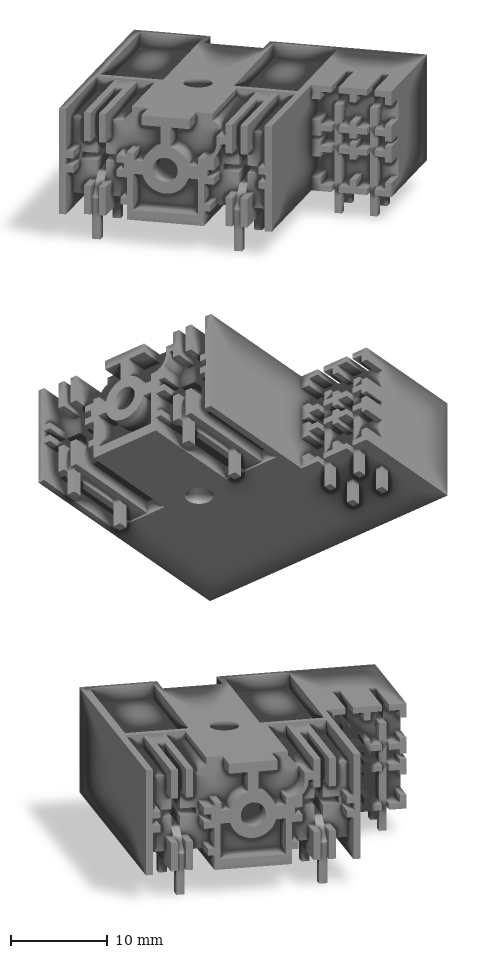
import cadquery as cq
import math

BODY_WIDTH = 22.83
TOTAL_WIDTH = 31.45
DEPTH = 28.3
HEIGHT = 11.42
PIN_LENGTH = 2.58
WALL = 0.75
MID_X = BODY_WIDTH / 2
MID_Z = HEIGHT / 2

FRONT_DEPTH = 2.6
RECESS_DEPTH = 11.7
SHELF = 1.6
BAY_RIGHT = BODY_WIDTH - WALL

BORE_RADIUS = 1.32
RING_RADIUS = 2.55
BOX_HALF_WIDTH = 4.12
BOX_WALL = 0.63
BOX_FLOOR = 1.1
ARM_HEIGHT = 1.4
TAB_HALF_WIDTH = 2.58
TAB_HEIGHT = 1.07
WEB_HALF_WIDTH = 0.55

SHOULDER_OFFSET = 3.75
SHOULDER_Z = 9.0
SHOULDER_RADIUS = 1.73
SHELL_RADIUS = 2.15
SHOULDER_HALF_GAP = 4.35
BRACKET_TOP = SHOULDER_Z - SHOULDER_RADIUS
BRACKET_WIDTH = 0.75
LIP_HEIGHT = 0.1

RIB_HEIGHT = 2.3
LEFT_RIB_WIDTH = 0.8
RIGHT_RIB_WIDTH = 0.65
COLUMN_RIB_WIDTH = 1.1
BLADE_THICKNESS = 0.8
GROOVE_HALF_SPAN = 3.15
FOOT_WIDTH = 0.7
FOOT_HEIGHT = 0.75

FORK_CENTERS = (3.85, 19.03)
FORK_WIDTH = 2.35
FORK_HEIGHT = 3.08
FORK_INSET = 0.22
FORK_SLOT_WIDTH = 0.88
FORK_SLOT_DEPTH = 9.18
BLADE_HALF_WIDTH = 2.17

PIN_THICKNESS = 1.0
PIN_FRONT = 0.6
STRIP_TOP = 4.12
BLADE_FRONT = 6.7
BEND_RUN = 2.23
BEND_ANGLE = 45.0

SIDE_FRONT = 14.95
SIDE_POCKET_DEPTH = 2.6
SLAB = 0.65
MID_SLAB_Z = 6.5
OUTER_TOOTH = 0.85
INNER_TOOTH = 0.55
TEETH = ((BODY_WIDTH, 0.97), (26.95, 0.65), (30.75, 0.7))
SIDE_SLOTS = (25.38, 29.22)
SIDE_SLOT_WIDTH = 0.8
SIDE_SLOT_END = 20.73
SIDE_TERMINAL_FRONT = 16.05
SIDE_TERMINAL_TOP = 9.12
SIDE_PIN_WIDTH = 0.95

POCKET_FRONT = 12.45
POCKET_BACK = 27.45
POCKET_SPANS = ((0.88, 7.65), (15.22, 22.08))
SCREW_HOLE_Y = 12.3
SCREW_HOLE_RADIUS = 1.5
NOTCH_HALF_WIDTH = 3.18
NOTCH_DEPTH = 2.45
REAR_BOSS_RADIUS = 2.3


def block(x0, x1, y0, y1, z0, z1):
    """Box between two opposite corners."""
    return cq.Workplane("XY").box(x1 - x0, y1 - y0, z1 - z0, centered=False).translate((x0, y0, z0))


def rod(x, z, radius, y0, y1):
    """Cylinder along Y."""
    return cq.Workplane("XZ", origin=(x, y0, z)).circle(radius).extrude(y0 - y1)


def front_block(x0, x1, z0, z1):
    """Box that fills the depth of the front bay."""
    return block(x0, x1, 0, FRONT_DEPTH, z0, z1)


def housing():
    main = block(0, BODY_WIDTH, 0, DEPTH, 0, HEIGHT)
    return main.union(block(BODY_WIDTH, TOTAL_WIDTH, SIDE_FRONT, DEPTH, 0, HEIGHT))


def front_openings():
    """Front bay and the recesses above and below the contact blocks."""
    cut = front_block(WALL, BAY_RIGHT, 0, HEIGHT)
    top = block(WALL, BAY_RIGHT, 0, RECESS_DEPTH, HEIGHT - SHELF, HEIGHT)
    top = top.cut(block(MID_X - SHOULDER_HALF_GAP, MID_X + SHOULDER_HALF_GAP,
                        0, RECESS_DEPTH, 0, HEIGHT))
    for x in (MID_X - SHOULDER_OFFSET, MID_X + SHOULDER_OFFSET):
        top = top.cut(rod(x, SHOULDER_Z, SHOULDER_RADIUS, 0, RECESS_DEPTH))
    bottom = block(WALL, BAY_RIGHT, 0, RECESS_DEPTH, 0, SHELF)
    bottom = bottom.cut(block(MID_X - BOX_HALF_WIDTH, MID_X + BOX_HALF_WIDTH,
                              0, RECESS_DEPTH, 0, SHELF))
    return cut.union(top).union(bottom)


def center_column():
    """Box, ring, web and tab standing in the front bay."""
    left = MID_X - BOX_HALF_WIDTH
    right = MID_X + BOX_HALF_WIDTH
    arm_top = MID_Z + ARM_HEIGHT / 2
    arm_bottom = MID_Z - ARM_HEIGHT / 2
    column = front_block(left, right, 0, arm_top)
    column = column.cut(front_block(left + BOX_WALL, right - BOX_WALL, BOX_FLOOR, arm_bottom))
    column = column.union(front_block(MID_X - WEB_HALF_WIDTH, MID_X + WEB_HALF_WIDTH, MID_Z, HEIGHT))
    column = column.union(front_block(MID_X - TAB_HALF_WIDTH, MID_X + TAB_HALF_WIDTH,
                                      HEIGHT - TAB_HEIGHT, HEIGHT))
    column = column.union(rod(MID_X, MID_Z, RING_RADIUS, 0, FRONT_DEPTH))
    column = column.union(front_block(left, left + BRACKET_WIDTH, arm_top, BRACKET_TOP))
    return column.union(bracket_lip()).union(shoulder_shell())


def bracket_lip():
    """Low outer lip of the left bracket, following the left shoulder circle."""
    x = MID_X - SHOULDER_OFFSET
    lip = front_block(MID_X - BOX_HALF_WIDTH, x, MID_Z, BRACKET_TOP + LIP_HEIGHT)
    return lip.cut(rod(x, SHOULDER_Z, SHOULDER_RADIUS, 0, FRONT_DEPTH))


def shoulder_shell():
    """Thin curved wall from the column up to the right fork."""
    x = MID_X + SHOULDER_OFFSET
    left = MID_X + BOX_HALF_WIDTH - BOX_WALL
    rib_side = MID_X + BOX_HALF_WIDTH + COLUMN_RIB_WIDTH
    fork_side = FORK_CENTERS[1] - FORK_WIDTH / 2
    shelf_z = HEIGHT - SHELF
    shell = front_block(left, rib_side, MID_Z, BRACKET_TOP)
    shell = shell.union(front_block(x, rib_side, MID_Z, SHOULDER_Z))
    shell = shell.union(rod(x, SHOULDER_Z, SHELL_RADIUS, 0, FRONT_DEPTH).intersect(
        front_block(x, fork_side, MID_Z, shelf_z)))
    shell = shell.union(front_block(x, fork_side, SHOULDER_Z, shelf_z))
    shell = shell.cut(rod(x, SHOULDER_Z, SHOULDER_RADIUS, 0, FRONT_DEPTH))
    return shell.cut(front_block(x, x + SHOULDER_RADIUS, SHOULDER_Z, shelf_z))


def guide_ribs():
    """Grooved ribs on the side walls and the column, and small feet low on the column."""
    column_left = MID_X - BOX_HALF_WIDTH
    column_right = MID_X + BOX_HALF_WIDTH
    spans = (
        (WALL, WALL + LEFT_RIB_WIDTH),
        (column_left - COLUMN_RIB_WIDTH, column_left),
        (column_right, column_right + COLUMN_RIB_WIDTH),
        (BAY_RIGHT - RIGHT_RIB_WIDTH, BAY_RIGHT),
    )
    ribs = cq.Workplane("XY")
    for x0, x1 in spans:
        ribs = ribs.union(front_block(x0, x1, MID_Z - RIB_HEIGHT / 2, MID_Z + RIB_HEIGHT / 2))
    for x0, x1 in ((column_left - FOOT_WIDTH, column_left), (column_right, column_right + FOOT_WIDTH)):
        ribs = ribs.union(front_block(x0, x1, SHELF, SHELF + FOOT_HEIGHT))
    return ribs


def rib_grooves(x):
    """Horizontal groove through the ribs on both sides of a fork."""
    return front_block(x - GROOVE_HALF_SPAN, x + GROOVE_HALF_SPAN,
                       MID_Z - BLADE_THICKNESS / 2, MID_Z + BLADE_THICKNESS / 2)


def fork_arms(x):
    """Upper and lower fork bodies before slotting."""
    x0 = x - FORK_WIDTH / 2
    x1 = x + FORK_WIDTH / 2
    lower = block(x0, x1, 0, RECESS_DEPTH, FORK_INSET, FORK_INSET + FORK_HEIGHT)
    upper_top = HEIGHT - FORK_INSET
    return lower.union(block(x0, x1, 0, RECESS_DEPTH, upper_top - FORK_HEIGHT, upper_top))


def fork_slots(x):
    half = FORK_SLOT_WIDTH / 2
    upright = block(x - half, x + half, 0, FORK_SLOT_DEPTH, 0, HEIGHT)
    flat = block(x - BLADE_HALF_WIDTH, x + BLADE_HALF_WIDTH, FRONT_DEPTH, FORK_SLOT_DEPTH,
                 MID_Z - BLADE_THICKNESS / 2, MID_Z + BLADE_THICKNESS / 2)
    return upright.union(flat)


def fork_terminal(x):
    """Bent strip with two pins, and a blade arm to the left."""
    half = FORK_SLOT_WIDTH / 2
    blade_top = MID_Z + BLADE_THICKNESS / 2
    strip_bottom = STRIP_TOP - PIN_THICKNESS
    bend_start = STRIP_TOP - BEND_RUN * math.tan(math.radians(BEND_ANGLE))
    inner_shift = PIN_THICKNESS * math.tan(math.radians(BEND_ANGLE / 2))
    strip = (
        cq.Workplane("YZ", origin=(x - half, 0, 0))
        .moveTo(PIN_FRONT, -PIN_LENGTH)
        .lineTo(PIN_FRONT, bend_start)
        .lineTo(PIN_FRONT + BEND_RUN, STRIP_TOP)
        .lineTo(BLADE_FRONT, STRIP_TOP)
        .lineTo(BLADE_FRONT, blade_top)
        .lineTo(FORK_SLOT_DEPTH, blade_top)
        .lineTo(FORK_SLOT_DEPTH, -PIN_LENGTH)
        .lineTo(FORK_SLOT_DEPTH - PIN_THICKNESS, -PIN_LENGTH)
        .lineTo(FORK_SLOT_DEPTH - PIN_THICKNESS, strip_bottom)
        .lineTo(PIN_FRONT + BEND_RUN + inner_shift, strip_bottom)
        .lineTo(PIN_FRONT + PIN_THICKNESS, bend_start - inner_shift)
        .lineTo(PIN_FRONT + PIN_THICKNESS, -PIN_LENGTH)
        .close()
        .extrude(FORK_SLOT_WIDTH)
    )
    arm = block(x - BLADE_HALF_WIDTH, x + half, BLADE_FRONT, FORK_SLOT_DEPTH,
                blade_top - BLADE_THICKNESS, blade_top)
    return strip.union(arm)


def side_pocket():
    return block(BODY_WIDTH, TOTAL_WIDTH, SIDE_FRONT, SIDE_FRONT + SIDE_POCKET_DEPTH, 0, HEIGHT)


def side_grid():
    """Slabs with teeth across the open front of the side housing, alike above and below the middle."""
    y0, y1 = SIDE_FRONT, SIDE_FRONT + SIDE_POCKET_DEPTH
    spans = [(BODY_WIDTH, TOTAL_WIDTH, HEIGHT - SLAB, HEIGHT)]
    spans.append((BODY_WIDTH, TOTAL_WIDTH, MID_SLAB_Z, MID_SLAB_Z + SLAB))
    for x, width in TEETH:
        spans.append((x, x + width, HEIGHT - SLAB - OUTER_TOOTH, HEIGHT - SLAB))
        spans.append((x, x + width, MID_SLAB_Z - INNER_TOOTH, MID_SLAB_Z + SLAB + INNER_TOOTH))
    grid = cq.Workplane("XY")
    for x0, x1, z0, z1 in spans:
        grid = grid.union(block(x0, x1, y0, y1, z0, z1))
        grid = grid.union(block(x0, x1, y0, y1, HEIGHT - z1, HEIGHT - z0))
    return grid


def side_slot(x):
    half = SIDE_SLOT_WIDTH / 2
    return block(x - half, x + half, SIDE_FRONT, SIDE_SLOT_END, 0, HEIGHT)


def side_terminal(x):
    """Upright plate with a window below its top edge and two pins."""
    x0 = x - SIDE_SLOT_WIDTH / 2
    x1 = x + SIDE_SLOT_WIDTH / 2
    leg_back = SIDE_TERMINAL_FRONT + SIDE_PIN_WIDTH
    leg_front = SIDE_SLOT_END - SIDE_PIN_WIDTH
    plate = block(x0, x1, SIDE_TERMINAL_FRONT, SIDE_SLOT_END, -PIN_LENGTH, SIDE_TERMINAL_TOP)
    plate = plate.cut(block(x0, x1, leg_back, leg_front, -PIN_LENGTH, 0))
    return plate.cut(block(x0, x1, leg_back, leg_front,
                           MID_SLAB_Z + SLAB, SIDE_TERMINAL_TOP - SIDE_PIN_WIDTH))


def top_pockets():
    cut = cq.Workplane("XY")
    for x0, x1 in POCKET_SPANS:
        cut = cut.union(block(x0, x1, POCKET_FRONT, POCKET_BACK, HEIGHT - SHELF, HEIGHT))
    return cut


def rear_notch():
    """Notch in the rear edge that leaves the upper half of a round boss standing."""
    notch = block(MID_X - NOTCH_HALF_WIDTH, MID_X + NOTCH_HALF_WIDTH,
                  DEPTH - NOTCH_DEPTH, DEPTH, MID_Z, HEIGHT)
    return notch.cut(rod(MID_X, MID_Z, REAR_BOSS_RADIUS, DEPTH - NOTCH_DEPTH, DEPTH))


def screw_hole():
    return cq.Workplane("XY", origin=(MID_X, SCREW_HOLE_Y, 0)).circle(SCREW_HOLE_RADIUS).extrude(HEIGHT)


result = housing().cut(front_openings())
result = result.union(center_column()).union(guide_ribs())
result = result.cut(rod(MID_X, MID_Z, BORE_RADIUS, 0, FRONT_DEPTH))
for fork_x in FORK_CENTERS:
    result = result.cut(rib_grooves(fork_x)).union(fork_arms(fork_x))
    result = result.cut(fork_slots(fork_x)).union(fork_terminal(fork_x))
result = result.cut(side_pocket()).union(side_grid())
for slot_x in SIDE_SLOTS:
    result = result.cut(side_slot(slot_x)).union(side_terminal(slot_x))
result = result.cut(top_pockets()).cut(rear_notch()).cut(screw_hole())